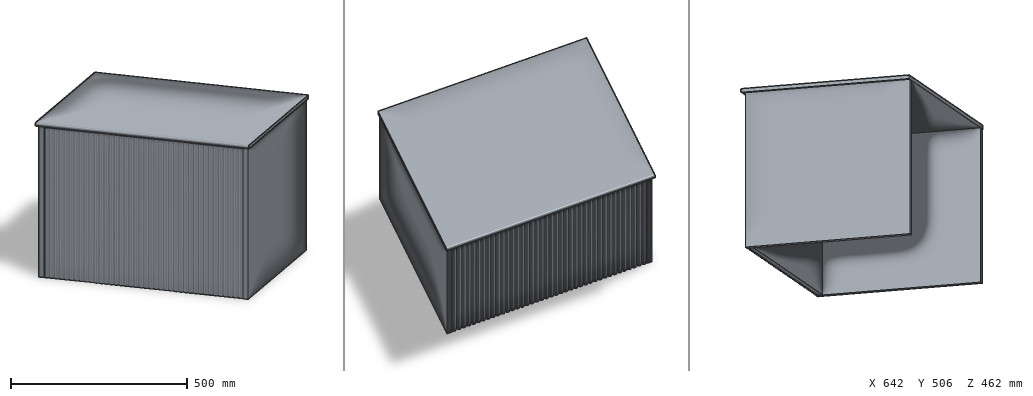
import cadquery as cq
import math

top_width = 642
top_depth = 506
top_thickness = 12
nose_radius = top_thickness / 2
y_back = top_depth / 2
y_nose = -y_back + nose_radius

strip_thickness = 1
strip_margin = 1

panel_height = 450
panel_thickness = 16
side_overhang = 6
front_overhang = 12.5
cabinet_width = top_width - 2 * side_overhang
panel_depth = top_depth - front_overhang
y_front = y_back - panel_depth
z_nose = panel_height + nose_radius

side_gap = 1
top_gap = 4
front_thickness = 20
front_width = cabinet_width - 2 * (panel_thickness + side_gap)
front_height = panel_height - top_gap

flute_count = 40
crest_radius = 6.5
valley_radius = 2
pitch = (front_width - 2 * crest_radius) / (flute_count - 1)
join_angle = math.asin(pitch / 2 / (crest_radius + valley_radius))
crest_half = crest_radius * math.sin(join_angle)
valley_half = valley_radius * math.sin(join_angle)
y_axis = y_front + crest_radius
y_join = y_axis - crest_radius * math.cos(join_angle)
y_valley = y_join + valley_radius * (1 - math.cos(join_angle))

half_valley_x = valley_radius * math.sin(join_angle / 2)
half_valley_y = y_valley - valley_radius * (1 - math.cos(join_angle / 2))


def nosed_slab(x_start, length, margin):
    """Slab along X with a half-round front edge, its profile drawn in by a margin all round."""
    radius = nose_radius - margin
    lean = radius * math.sqrt(0.5)
    return (
        cq.Workplane("YZ", origin=(x_start, 0, 0))
        .moveTo(y_back - margin, z_nose + radius)
        .lineTo(y_nose, z_nose + radius)
        .threePointArc((y_nose - lean, z_nose + lean), (y_nose - radius, z_nose))
        .threePointArc((y_nose - lean, z_nose - lean), (y_nose, z_nose - radius))
        .lineTo(y_back - margin, z_nose - radius)
        .close()
        .extrude(length, clean=False)
    )


def edge_strip(x_start):
    return nosed_slab(x_start, strip_thickness, strip_margin)


def countertop(strips):
    """Full-width slab with a recess in each end for its edge strip."""
    slab = nosed_slab(-top_width / 2, top_width, 0)
    for strip in strips:
        slab = slab.cut(strip, clean=False)
    return slab.solids()


def side_panel(x_start):
    return cq.Workplane("XY", origin=(x_start, y_front, 0)).box(
        panel_thickness, panel_depth, panel_height, centered=False
    )


def fluted_front():
    """Upright panel whose front face is a row of flutes; the outer two run into its side faces."""
    x_end = front_width / 2
    y_rear = y_front + front_thickness
    outline = cq.Workplane("XY").moveTo(-x_end, y_rear).lineTo(-x_end, y_axis)
    x_crest = -x_end + crest_radius
    for _ in range(flute_count - 1):
        x_valley = x_crest + pitch / 2
        outline = (
            outline.threePointArc((x_crest, y_front), (x_crest + crest_half, y_join))
            .threePointArc((x_valley - half_valley_x, half_valley_y), (x_valley, y_valley))
            .threePointArc((x_valley + half_valley_x, half_valley_y), (x_valley + valley_half, y_join))
        )
        x_crest += pitch
    outline = outline.threePointArc((x_crest, y_front), (x_end, y_axis)).lineTo(x_end, y_rear).close()
    return outline.extrude(front_height, clean=False)


edge_strips = [edge_strip(x) for x in (-top_width / 2, top_width / 2 - strip_thickness)]
worktop = countertop(edge_strips)
side_panels = [side_panel(x) for x in (-cabinet_width / 2, cabinet_width / 2 - panel_thickness)]
front = fluted_front()

result = cq.Compound.makeCompound(
    [
        worktop.val(),
        *[strip.val() for strip in edge_strips],
        *[panel.val() for panel in side_panels],
        front.val(),
    ]
)